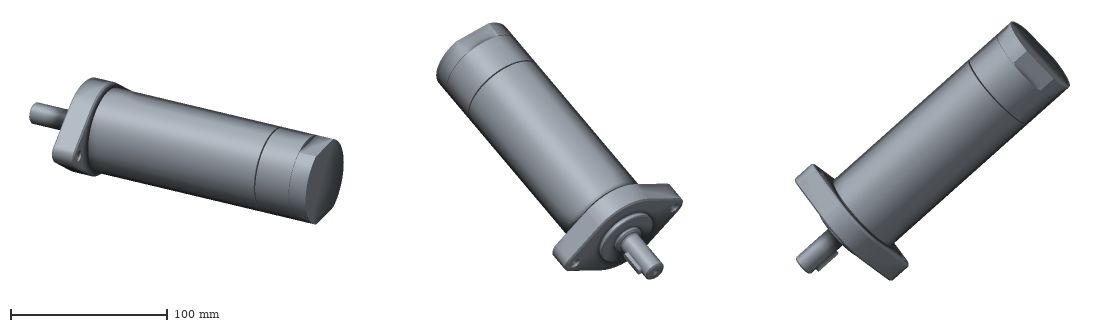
import cadquery as cq
import math

shaft_end = 28.2
seal_start = 29.5
pilot_face = 32.0
flange_front = 35.0
flange_back = 51.0
body_start = 52.7
groove_start = 170.5
groove_width = 1.0
cap_start = 195.2
overall_length = 207.5

shaft_diameter = 14.0
shaft_chamfer = 1.0
shoulder_diameter = 15.0
seal_tip_diameter = 17.5
seal_diameter = 20.0
seal_cone_length = 1.2
recess_diameter = 21.2
recess_depth = 1.0
center_hole_diameter = 4.1
center_hole_depth = 10.4
center_sink_diameter = 5.4
drill_point_angle = 118.0

key_start = 5.0
key_length = 18.0
key_width = 5.0
key_top = 9.1
key_height = 5.0

pilot_diameter = 40.0
pilot_chamfer = 0.6
pilot_undercut_width = 0.8
pilot_undercut_diameter = 39.8
flange_diameter = 62.0
flange_width = 91.9
bolt_offset = 38.4
bolt_hole_diameter = 7.0
flange_chamfer = 1.0

body_diameter = 56.0
neck_diameter = 48.3
groove_diameter = 48.1
cap_across_flats = 50.0
cap_seam_width = 0.6
cap_seam_diameter = 55.2


def cylinder(start, end, diameter):
    """Cylinder on the motor axis between two stations."""
    return cq.Workplane("YZ", origin=(start, 0, 0)).circle(diameter / 2).extrude(end - start)


def make_flange():
    """Rhombic plate: a large centre arc joined to two lug arcs by tangent lines."""
    center_radius = flange_diameter / 2
    lug_radius = flange_width / 2 - bolt_offset
    tangent_angle = math.acos((center_radius - lug_radius) / bolt_offset)
    cos_t = math.cos(tangent_angle)
    sin_t = math.sin(tangent_angle)
    center_y, center_z = center_radius * cos_t, center_radius * sin_t
    lug_y, lug_z = bolt_offset + lug_radius * cos_t, lug_radius * sin_t
    plate = (
        cq.Workplane("YZ", origin=(flange_front, 0, 0))
        .moveTo(-center_y, center_z)
        .threePointArc((0, center_radius), (center_y, center_z))
        .lineTo(lug_y, lug_z)
        .threePointArc((flange_width / 2, 0), (lug_y, -lug_z))
        .lineTo(center_y, -center_z)
        .threePointArc((0, -center_radius), (-center_y, -center_z))
        .lineTo(-lug_y, -lug_z)
        .threePointArc((-flange_width / 2, 0), (-lug_y, lug_z))
        .close()
        .extrude(flange_back - flange_front)
        .faces("<X or >X")
        .chamfer(flange_chamfer)
    )
    bolt_holes = (
        cq.Workplane("YZ", origin=(flange_front, 0, 0))
        .pushPoints([(-bolt_offset, 0), (bolt_offset, 0)])
        .circle(bolt_hole_diameter / 2)
        .extrude(flange_back - flange_front)
    )
    undercut_start = flange_front - pilot_undercut_width
    pilot = cylinder(pilot_face, undercut_start, pilot_diameter).faces("<X").chamfer(pilot_chamfer)
    undercut = cylinder(undercut_start, flange_front, pilot_undercut_diameter)
    recess = cylinder(pilot_face, pilot_face + recess_depth, recess_diameter)
    return plate.cut(bolt_holes).union(pilot).union(undercut).cut(recess)


def make_shaft():
    """Shaft with a tapered shoulder, a conical seal and a drilled centre hole."""
    seal_back = pilot_face + recess_depth
    center_sink_depth = (center_sink_diameter - center_hole_diameter) / 2
    drill_point = center_hole_diameter / 2 / math.tan(math.radians(drill_point_angle / 2))
    profile = [
        (center_hole_depth + drill_point, 0),
        (center_hole_depth, center_hole_diameter / 2),
        (center_sink_depth, center_hole_diameter / 2),
        (0, center_sink_diameter / 2),
        (0, shaft_diameter / 2 - shaft_chamfer),
        (shaft_chamfer, shaft_diameter / 2),
        (shaft_end, shaft_diameter / 2),
        (seal_start, shoulder_diameter / 2),
        (seal_start, seal_tip_diameter / 2),
        (seal_start + seal_cone_length, seal_diameter / 2),
        (seal_back, seal_diameter / 2),
        (seal_back, 0),
    ]
    return cq.Workplane("XY").polyline(profile).close().revolve(360, (0, 0, 0), (1, 0, 0))


def make_key():
    """Round-ended parallel key seated in the shaft and standing proud towards +Y."""
    key_center = key_start + key_length / 2
    return (
        cq.Workplane("XZ", origin=(key_center, key_top, 0))
        .slot2D(key_length, key_width)
        .extrude(key_height)
    )


def make_housing():
    """Neck, main tube, ring groove and end cap with a fine seam and two wrench flats."""
    neck = cylinder(flange_back, body_start, neck_diameter)
    tube = cylinder(body_start, groove_start, body_diameter)
    groove_floor = cylinder(groove_start, groove_start + groove_width, groove_diameter)
    rear_ring = cylinder(groove_start + groove_width, cap_start, body_diameter)
    flats = cq.Workplane("XY").box(
        overall_length, 2 * body_diameter, cap_across_flats, centered=(False, True, True)
    )
    seam = cylinder(cap_start, cap_start + cap_seam_width, cap_seam_diameter)
    cap = cylinder(cap_start + cap_seam_width, overall_length, body_diameter).union(seam).intersect(flats)
    return neck.union(tube).union(groove_floor).union(rear_ring).union(cap)


result = make_flange().union(make_shaft()).union(make_key()).union(make_housing())